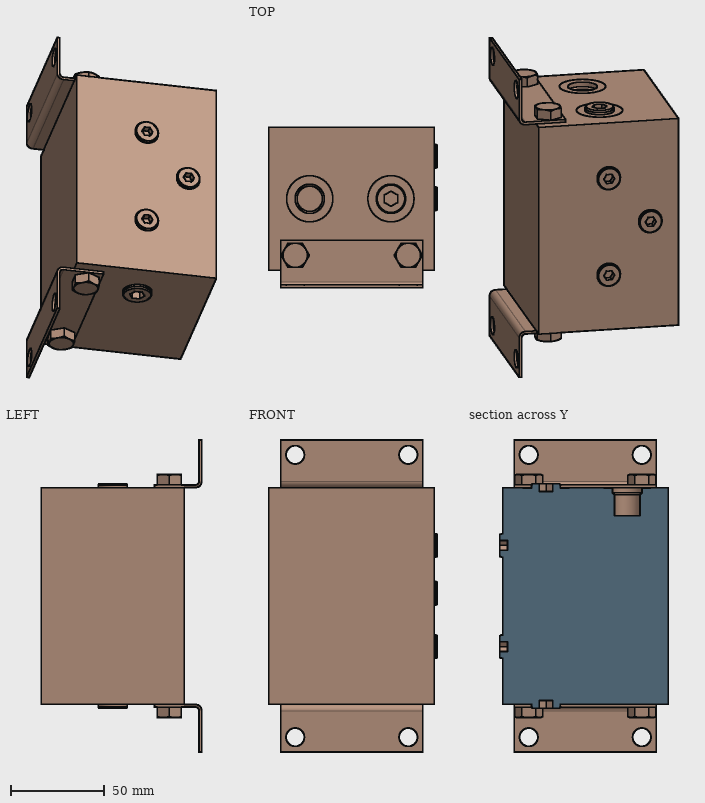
import cadquery as cq
import math

BLOCK_X = 88.6
BLOCK_Y = 76.5
BLOCK_Z = 115.8
TOP = BLOCK_Z / 2
FRONT = -BLOCK_Y / 2

OVERALL_Y = 85.8
OVERALL_Z = 166.9
SHEET = 1.5
BEND_OUTER_RADIUS = 3.3
BRACKET_X = 76.0
BRACKET_START_X = 6.5
BRACKET_FOOT_Y = 25.4
BRACKET_CENTER_X = BRACKET_START_X + BRACKET_X / 2
FLANGE_FRONT = BLOCK_Y / 2 - OVERALL_Y
FLANGE_TIP_Z = OVERALL_Z / 2

FIXING_SPACING = 60.4
FIXING_EDGE_DISTANCE = 8.0
FLANGE_HOLE_DIAMETER = 9.7
BOLT_ACROSS_FLATS = 13.0
BOLT_HEAD_HEIGHT = 5.5
BOLT_EDGE_CHAMFER = 0.5

PORT_SPACING = 43.4
PORT_T_X = 22.0
PORT_P_X = PORT_T_X + PORT_SPACING
SPOTFACE_DIAMETER = 24.7
SPOTFACE_DEPTH = 0.1
PORT_MOUTH_DIAMETER = 15.7
PORT_MOUTH_DEPTH = 2.7
PORT_BORE_DIAMETER = 13.5
PORT_DEPTH = 15.0
PORT_CONE_DEPTH = (PORT_MOUTH_DIAMETER - PORT_BORE_DIAMETER) / 2

END_PLUG_DIAMETER = 15.7
END_PLUG_HEIGHT = 2.2
END_SOCKET_FLATS = 7.0
SIDE_PLUG_DIAMETER = 12.7
SIDE_PLUG_HEIGHT = 1.7
SIDE_SOCKET_FLATS = 5.0
PLUG_CHAMFER_HEIGHT = 1.0
PLUG_CHAMFER_INSET = 0.5
SOCKET_DEPTH = 4.2
SOCKET_TURN = 30
SIDE_PLUG_BACK_Y = 22.7
SIDE_PLUG_PLACES = [(0, -27.0), (SIDE_PLUG_BACK_Y, 1.5), (0, 27.0)]


def corner_radius(across_flats):
    """Distance from the centre of a hexagon to its corners."""
    return across_flats / 2 / math.cos(math.pi / 6)


def hexagon(across_flats, height):
    """Hexagonal prism standing on Z = 0, with two corners on the X axis."""
    return cq.Workplane("XY").polygon(6, 2 * corner_radius(across_flats)).extrude(height)


def plug(diameter, height, socket_flats):
    """Round plug head on Z = 0; its hexagon socket may reach below the base."""
    head = cq.Workplane("XY").circle(diameter / 2).extrude(height)
    head = head.faces(">Z").chamfer(PLUG_CHAMFER_HEIGHT, PLUG_CHAMFER_INSET)
    socket = hexagon(socket_flats, SOCKET_DEPTH).rotate((0, 0, 0), (0, 0, 1), SOCKET_TURN)
    socket = socket.translate((0, 0, height - SOCKET_DEPTH))
    return head, socket


def bracket():
    """Upper angle bracket with its two flange holes."""
    foot_back = FLANGE_FRONT + BRACKET_FOOT_Y
    flange_back = FLANGE_FRONT + SHEET
    angle = (
        cq.Workplane("YZ", origin=(BRACKET_START_X, 0, 0))
        .moveTo(foot_back, TOP)
        .lineTo(FLANGE_FRONT + BEND_OUTER_RADIUS, TOP)
        .radiusArc((FLANGE_FRONT, TOP + BEND_OUTER_RADIUS), BEND_OUTER_RADIUS)
        .lineTo(FLANGE_FRONT, FLANGE_TIP_Z)
        .lineTo(flange_back, FLANGE_TIP_Z)
        .lineTo(flange_back, TOP + BEND_OUTER_RADIUS)
        .radiusArc((FLANGE_FRONT + BEND_OUTER_RADIUS, TOP + SHEET), SHEET - BEND_OUTER_RADIUS)
        .lineTo(foot_back, TOP + SHEET)
        .close()
        .extrude(BRACKET_X)
    )
    holes = (
        cq.Workplane("XZ", origin=(BRACKET_CENTER_X, flange_back, FLANGE_TIP_Z - FIXING_EDGE_DISTANCE))
        .rarray(FIXING_SPACING, 1.7, 2, 1)
        .circle(FLANGE_HOLE_DIAMETER / 2)
        .extrude(SHEET)
    )
    return angle.cut(holes)


def bolt_head():
    """Hexagon bolt head with its top corners turned off."""
    turned_radius = corner_radius(BOLT_ACROSS_FLATS)
    turned = cq.Workplane("XY").circle(turned_radius).extrude(BOLT_HEAD_HEIGHT)
    turned = turned.faces(">Z").chamfer(BOLT_EDGE_CHAMFER, turned_radius - BOLT_ACROSS_FLATS / 2)
    return hexagon(BOLT_ACROSS_FLATS, BOLT_HEAD_HEIGHT).intersect(turned)


def open_port():
    """Blind port below Z = 0: wide mouth, short cone, narrower bore."""
    mouth_radius = PORT_MOUTH_DIAMETER / 2
    bore_radius = PORT_BORE_DIAMETER / 2
    return (
        cq.Workplane("XZ")
        .polyline([
            (0, 0),
            (mouth_radius, 0),
            (mouth_radius, -PORT_MOUTH_DEPTH),
            (bore_radius, -PORT_MOUTH_DEPTH - PORT_CONE_DEPTH),
            (bore_radius, -PORT_DEPTH),
            (0, -PORT_DEPTH),
        ])
        .close()
        .revolve(360, (0, 0, 0), (0, 1, 0))
    )


def on_both_ends(solid):
    """The solid at the upper end together with its mirror image at the lower end."""
    return solid.union(solid.mirror("XY"))


result = cq.Workplane("XY").box(BLOCK_X, BLOCK_Y, BLOCK_Z).translate((BLOCK_X / 2, 0, 0))

result = result.cut(open_port().translate((PORT_T_X, 0, TOP)))
for port_x in (PORT_T_X, PORT_P_X):
    spotface = cq.Workplane("XY").circle(SPOTFACE_DIAMETER / 2).extrude(-SPOTFACE_DEPTH)
    result = result.cut(spotface.translate((port_x, 0, TOP)))

end_head, end_socket = plug(END_PLUG_DIAMETER, END_PLUG_HEIGHT + SPOTFACE_DEPTH, END_SOCKET_FLATS)
end_place = (PORT_P_X, 0, TOP - SPOTFACE_DEPTH)
result = result.union(on_both_ends(end_head.translate(end_place)))
result = result.cut(on_both_ends(end_socket.translate(end_place)))

for plug_y, plug_z in SIDE_PLUG_PLACES:
    side_head, side_socket = [
        body.rotate((0, 0, 0), (0, 1, 0), 90).translate((BLOCK_X, plug_y, plug_z))
        for body in plug(SIDE_PLUG_DIAMETER, SIDE_PLUG_HEIGHT, SIDE_SOCKET_FLATS)
    ]
    result = result.union(side_head).cut(side_socket)

fixed_bracket = bracket()
for side in (-1, 1):
    bolt_x = BRACKET_CENTER_X + side * FIXING_SPACING / 2
    bolt_place = (bolt_x, FRONT + FIXING_EDGE_DISTANCE, TOP + SHEET)
    fixed_bracket = fixed_bracket.union(bolt_head().translate(bolt_place))
result = result.union(on_both_ends(fixed_bracket))